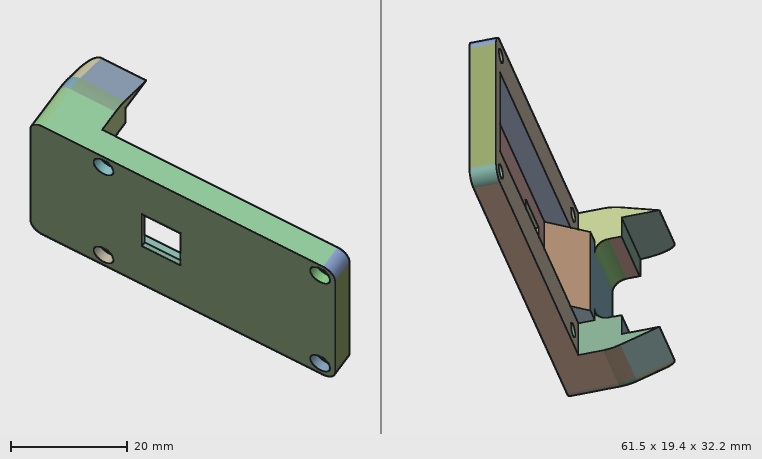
import cadquery as cq

LENGTH = 61.5
HEIGHT = 32.2
PLATE_THICKNESS = 4.8
CORNER_RADIUS = 2.45

END_LENGTH = 11.55
BLOCK_DEPTH = 12.55
PRONG_DEPTH = 19.4
PRONG_INNER_HALF = 13.2
TAPER_START = 10.8
TAPER_BLEND_RADIUS = 9.85

NOTCH_FLOOR = 7.75
NOTCH_WIDTH = 17.85
NOTCH_CORNER_RADIUS = 2.45
NOTCH_EDGE_RADIUS = 0.9

STEP_TOP_END = 14.2
STEP_BASE_END = 16.3

TRAY_FLOOR = 0.9
TRAY_END_WALL = 2.45

HOLE_DIAMETER = 2.5
COUNTERBORE_DIAMETER = 4.0
COUNTERBORE_DEPTH = 1.95
HOLE_XS = (14.75, 58.5)
HOLE_Z = 13.1

WINDOW_START = 22.5
WINDOW_LENGTH = 7.75
WINDOW_HEIGHT = 9.5

MARGIN = 0.05


def box(x_start, x_end, y_start, y_end, height):
    """Box centred on Z = 0."""
    size = (x_end - x_start, y_end - y_start, height)
    return cq.Workplane("XY").box(*size, centered=(False, False, True)).translate((x_start, y_start, 0))


def make_plate():
    plate = box(0, LENGTH, 0, PLATE_THICKNESS, HEIGHT)
    return plate.edges("|Y").fillet(CORNER_RADIUS)


def make_end_block():
    half = HEIGHT / 2
    outline = [
        (0, -half),
        (TAPER_START, -half),
        (PRONG_DEPTH, -PRONG_INNER_HALF),
        (PRONG_DEPTH, PRONG_INNER_HALF),
        (TAPER_START, half),
        (0, half),
    ]
    block = cq.Workplane("YZ").polyline(outline).close().extrude(END_LENGTH)
    taper_edges = cq.selectors.BoxSelector(
        (-MARGIN, TAPER_START - MARGIN, -HEIGHT), (END_LENGTH + MARGIN, TAPER_START + MARGIN, HEIGHT)
    )
    block = block.edges("|X").edges(taper_edges).fillet(TAPER_BLEND_RADIUS)

    block = block.faces("<X").edges("not(<Y or >Y)").fillet(CORNER_RADIUS)
    block = block.cut(box(0, END_LENGTH, BLOCK_DEPTH, PRONG_DEPTH, 2 * PRONG_INNER_HALF))

    notch = box(0, END_LENGTH, NOTCH_FLOOR, PRONG_DEPTH, NOTCH_WIDTH)
    notch = notch.edges("|X and <Y").fillet(NOTCH_CORNER_RADIUS)
    block = block.cut(notch)
    notch_edges = cq.selectors.BoxSelector(
        (-MARGIN, NOTCH_FLOOR - MARGIN, -NOTCH_WIDTH / 2 - MARGIN),
        (MARGIN, BLOCK_DEPTH, NOTCH_WIDTH / 2 + MARGIN),
    )
    return block.edges(notch_edges).fillet(NOTCH_EDGE_RADIUS)


def make_step():
    outline = [
        (END_LENGTH, 0),
        (STEP_BASE_END, 0),
        (STEP_BASE_END, PLATE_THICKNESS),
        (STEP_TOP_END, NOTCH_FLOOR),
        (END_LENGTH, NOTCH_FLOOR),
    ]
    return cq.Workplane("XY").polyline(outline).close().extrude(NOTCH_WIDTH / 2, both=True)


def make_tray():
    slope_run = (STEP_BASE_END - STEP_TOP_END) / (NOTCH_FLOOR - PLATE_THICKNESS)
    floor_start = STEP_BASE_END + slope_run * (PLATE_THICKNESS - TRAY_FLOOR)
    tray_end = LENGTH - TRAY_END_WALL
    outline = [
        (floor_start, TRAY_FLOOR),
        (tray_end, TRAY_FLOOR),
        (tray_end, PLATE_THICKNESS),
        (STEP_BASE_END, PLATE_THICKNESS),
    ]
    return cq.Workplane("XY").polyline(outline).close().extrude(NOTCH_WIDTH / 2, both=True)


def make_screw_holes():
    positions = [(x, z) for x in HOLE_XS for z in (-HOLE_Z, HOLE_Z)]
    points = cq.Workplane("XZ").pushPoints(positions)
    bores = points.circle(HOLE_DIAMETER / 2).extrude(-PLATE_THICKNESS)
    return bores.union(points.circle(COUNTERBORE_DIAMETER / 2).extrude(-COUNTERBORE_DEPTH))


window = box(WINDOW_START, WINDOW_START + WINDOW_LENGTH, 0, PLATE_THICKNESS, WINDOW_HEIGHT)
body = make_plate().union(make_end_block()).union(make_step())
result = body.cut(make_tray()).cut(make_screw_holes()).cut(window)